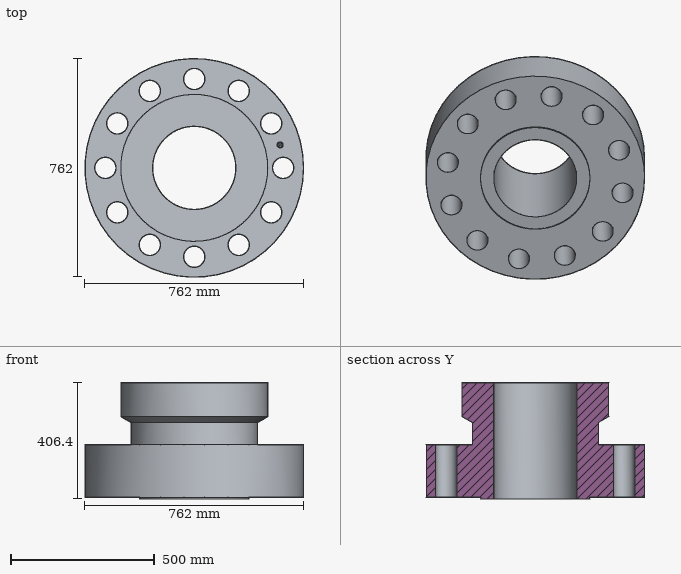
import cadquery as cq
import math

total_height = 406.4
raised_face_height = 6.4
flange_top = 190.5
neck_top = 267.0
collar_slope_angle = 30.0

flange_diameter = 762.0
raised_face_diameter = 381.0
neck_diameter = 441.3
collar_diameter = 512.0
bore_diameter = 288.9

bolt_count = 12
bolt_circle_diameter = 619.1
bolt_hole_diameter = 73.0

port_angle = 180.0 / bolt_count
port_mouth_diameter = 21.3
port_seat_diameter = 17.6
port_drill_diameter = 8.0
port_seat_depth = 20.0
port_drill_depth = 30.0
port_drill_point_angle = 118.0


def turned_body():
    """Flange, raised face, neck and collar revolved about Z around the bore."""
    bore_radius = bore_diameter / 2
    face_radius = raised_face_diameter / 2
    flange_radius = flange_diameter / 2
    neck_radius = neck_diameter / 2
    collar_radius = collar_diameter / 2
    slope_rise = (collar_radius - neck_radius) * math.tan(math.radians(collar_slope_angle))
    profile = [
        (bore_radius, 0),
        (face_radius, 0),
        (face_radius, raised_face_height),
        (flange_radius, raised_face_height),
        (flange_radius, flange_top),
        (neck_radius, flange_top),
        (neck_radius, neck_top),
        (collar_radius, neck_top + slope_rise),
        (collar_radius, total_height),
        (bore_radius, total_height),
    ]
    return cq.Workplane("XZ").polyline(profile).close().revolve(360, (0, 0), (0, 1))


def bolt_holes():
    """Cylinders that cut the ring of bolt holes through the flange."""
    return (
        cq.Workplane("XY")
        .polarArray(bolt_circle_diameter / 2, 0, 360, bolt_count)
        .circle(bolt_hole_diameter / 2)
        .extrude(flange_top)
    )


def port():
    """Tapered blind seat with a smaller, pointed blind drilling below it."""
    seat_bottom = -port_seat_depth
    drill_bottom = seat_bottom - port_drill_depth
    drill_radius = port_drill_diameter / 2
    point_length = drill_radius / math.tan(math.radians(port_drill_point_angle / 2))
    profile = [
        (0, 0),
        (port_mouth_diameter / 2, 0),
        (port_seat_diameter / 2, seat_bottom),
        (drill_radius, seat_bottom),
        (drill_radius, drill_bottom),
        (0, drill_bottom - point_length),
    ]
    cutter = cq.Workplane("XZ").polyline(profile).close().revolve(360, (0, 0), (0, 1))
    at_bolt_circle = cutter.translate((bolt_circle_diameter / 2, 0, flange_top))
    return at_bolt_circle.rotate((0, 0, 0), (0, 0, 1), port_angle)


result = turned_body().cut(bolt_holes()).cut(port())